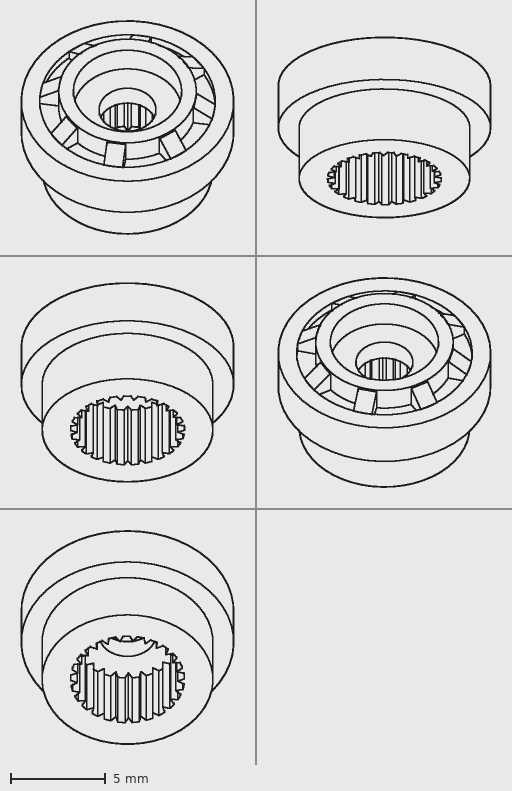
import cadquery as cq
import math

FLANGE_DIAMETER = 11.2
FLANGE_HEIGHT = 2.5
BARREL_DIAMETER = 9.0
BARREL_HEIGHT = 3.0
FLANGE_TOP = BARREL_HEIGHT + FLANGE_HEIGHT

CUP_OUTER_DIAMETER = 7.25
CUP_INNER_DIAMETER = 5.7
CUP_RISE = 0.81
CUP_DEPTH = 1.5
CUP_TOP = FLANGE_TOP + CUP_RISE
CUP_FLOOR = CUP_TOP - CUP_DEPTH
GROOVE_DIAMETER = 9.25
GROOVE_DEPTH = 0.5

RIB_COUNT = 8
RIB_WIDTH = 1.0
RIB_TOP_GAP = 0.1

BORE_DIAMETER = 3.0
BORE_LENGTH = 1.2
SOCKET_DIAMETER = 6.0
SOCKET_DEPTH = CUP_FLOOR - BORE_LENGTH
TOOTH_COUNT = 25
TOOTH_HEIGHT = 0.35


def cylinder(diameter, bottom, top):
    """Upright cylinder on the Z axis between two heights."""
    return cq.Workplane("XY").workplane(offset=bottom).circle(diameter / 2).extrude(top - bottom)


def polar_point(radius, angle):
    """XY point at a radius and an angle in radians."""
    return (radius * math.cos(angle), radius * math.sin(angle))


def make_body():
    """Barrel, flange and cup, with the ring groove cut around the cup."""
    barrel = cylinder(BARREL_DIAMETER, 0, BARREL_HEIGHT)
    flange = cylinder(FLANGE_DIAMETER, BARREL_HEIGHT, FLANGE_TOP)
    groove = cylinder(GROOVE_DIAMETER, FLANGE_TOP - GROOVE_DEPTH, FLANGE_TOP)
    cup = cylinder(CUP_OUTER_DIAMETER, FLANGE_TOP - GROOVE_DEPTH, CUP_TOP)
    return barrel.union(flange).cut(groove).union(cup)


def make_rib():
    """Rib along +X: highest at the cup wall, sloping down to the groove's outer wall."""
    floor = FLANGE_TOP - GROOVE_DEPTH
    rib_top = CUP_TOP - RIB_TOP_GAP
    root = (CUP_INNER_DIAMETER + CUP_OUTER_DIAMETER) / 4
    crest = CUP_OUTER_DIAMETER / 2
    outer = GROOVE_DIAMETER / 2
    tip = math.sqrt(outer**2 - (RIB_WIDTH / 2) ** 2)
    slope = (rib_top - FLANGE_TOP) / (tip - crest)
    outer_height = FLANGE_TOP - slope * (outer - tip)
    outline = [(root, floor), (outer, floor), (outer, outer_height), (crest, rib_top), (root, rib_top)]
    bar = cq.Workplane("XZ").polyline(outline).close().extrude(RIB_WIDTH / 2, both=True)
    return bar.intersect(cylinder(GROOVE_DIAMETER, floor, CUP_TOP))


def make_socket():
    """Round socket whose wall carries evenly spaced V-shaped teeth pointing inward."""
    wall = SOCKET_DIAMETER / 2
    pitch = 2 * math.pi / TOOTH_COUNT
    quarter = pitch / 4
    outline = cq.Workplane("XY").moveTo(*polar_point(wall, -quarter))
    for tooth in range(TOOTH_COUNT):
        angle = tooth * pitch
        outline = outline.lineTo(*polar_point(wall - TOOTH_HEIGHT, angle))
        outline = outline.lineTo(*polar_point(wall, angle + quarter))
        outline = outline.threePointArc(
            polar_point(wall, angle + 2 * quarter),
            polar_point(wall, angle + 3 * quarter),
        )
    return outline.close().extrude(SOCKET_DEPTH)


result = make_body()
rib = make_rib()
for index in range(RIB_COUNT):
    result = result.union(rib.rotate((0, 0, 0), (0, 0, 1), index * 360 / RIB_COUNT))
result = result.cut(cylinder(CUP_INNER_DIAMETER, CUP_FLOOR, CUP_TOP))
result = result.cut(cylinder(BORE_DIAMETER, SOCKET_DEPTH, CUP_FLOOR))
result = result.cut(make_socket())